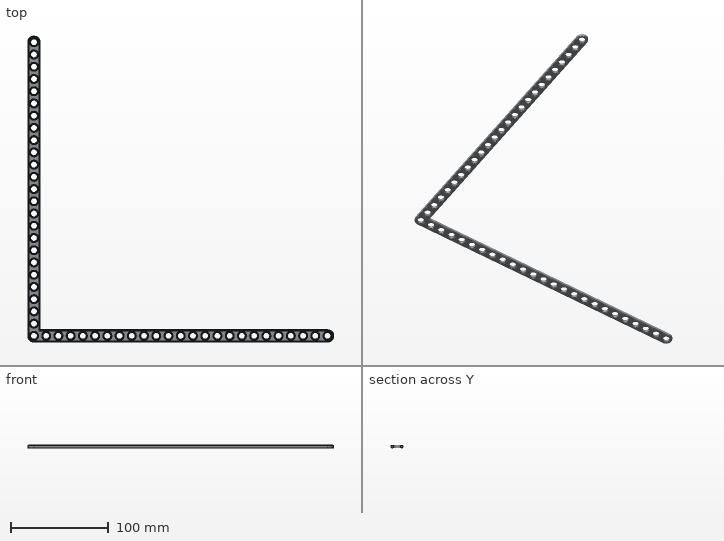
import cadquery as cq

side_length = 312.5
arm_width = 12.5
thickness = 3.0
hole_pitch = 12.5
recess_diameter = 9.0
step_width = 1.03
step_depth = 0.25

hole_diameter = recess_diameter - 2 * step_width

end_radius = arm_width / 2
far_end = side_length - end_radius
holes_per_arm = round((far_end - end_radius) / hole_pitch) + 1


def l_plate(inset, bottom, top):
    """L-shaped plate with half-round arm ends, its outline moved inward by the inset."""
    radius = end_radius - inset
    near_side = inset
    inner_side = arm_width - inset
    arm_tip = side_length - inset
    corner_arc_middle = end_radius - radius * 0.5 ** 0.5
    return (
        cq.Workplane("XY", origin=(0, 0, bottom))
        .moveTo(end_radius, near_side)
        .lineTo(far_end, near_side)
        .threePointArc((arm_tip, end_radius), (far_end, inner_side))
        .lineTo(inner_side, inner_side)
        .lineTo(inner_side, far_end)
        .threePointArc((end_radius, arm_tip), (near_side, far_end))
        .lineTo(near_side, end_radius)
        .threePointArc((corner_arc_middle, corner_arc_middle), (end_radius, near_side))
        .close()
        .extrude(top - bottom)
    )


def hole_centers():
    """Hole positions along both arms, with the shared corner hole listed once."""
    steps = [end_radius + index * hole_pitch for index in range(holes_per_arm)]
    along_x = [(step, end_radius) for step in steps]
    along_y = [(end_radius, step) for step in steps[1:]]
    return along_x + along_y


def cylinders(diameter, bottom, top):
    """One upright cylinder at every hole position."""
    return (
        cq.Workplane("XY", origin=(0, 0, bottom))
        .pushPoints(hole_centers())
        .circle(diameter / 2)
        .extrude(top - bottom)
    )


core = l_plate(0, step_depth, thickness - step_depth)
raised_band = l_plate(step_width, 0, thickness)
plate = core.union(raised_band)

through_holes = cylinders(hole_diameter, 0, thickness)
bottom_recesses = cylinders(recess_diameter, 0, step_depth)
top_recesses = cylinders(recess_diameter, thickness - step_depth, thickness)

result = plate.cut(through_holes).cut(bottom_recesses).cut(top_recesses)